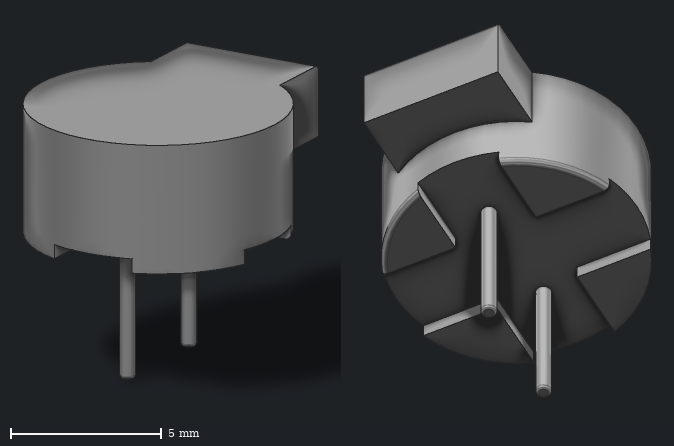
import cadquery as cq

body_diameter = 9.0
body_radius = body_diameter / 2
body_height = 4.5

channel_width = 3.01
channel_depth = 0.5
foot_edge_radius = 0.2

overall_length = 10.75
spout_width = 5.0
spout_height = 2.5
spout_edge_radius = 0.18
spout_end_y = overall_length - body_radius

pin_diameter = 0.54
pin_pitch = 4.0
overall_height = 9.03
pin_tip_z = body_height - overall_height
pin_tip_radius = 0.11


def make_housing():
    """Cylinder standing on four feet; the two feet on the +Y side have rounded rims."""
    housing = cq.Workplane("XY").circle(body_radius).extrude(body_height)
    for length_x, length_y in ((body_diameter, channel_width), (channel_width, body_diameter)):
        channel = cq.Workplane("XY").rect(length_x, length_y).extrude(channel_depth)
        housing = housing.cut(channel)
    rear_rims = housing.faces("<Z").edges("%CIRCLE").edges(">Y")
    return housing.newObject(rear_rims.vals()).fillet(foot_edge_radius)


def make_spout():
    """Block from the housing axis to the +Y end, with its outer top edge rounded."""
    spout = (
        cq.Workplane("XY", origin=(0, spout_end_y / 2, body_height - spout_height))
        .rect(spout_width, spout_end_y)
        .extrude(spout_height)
    )
    return spout.faces(">Y").edges(">Z").fillet(spout_edge_radius)


def make_pin(y):
    """Pin hanging from the channel ceiling, with a rounded tip."""
    pin = (
        cq.Workplane("XY", origin=(0, y, pin_tip_z))
        .circle(pin_diameter / 2)
        .extrude(channel_depth - pin_tip_z)
    )
    return pin.faces("<Z").edges().fillet(pin_tip_radius)


result = make_housing().union(make_spout())
for pin_y in (-pin_pitch / 2, pin_pitch / 2):
    result = result.union(make_pin(pin_y))